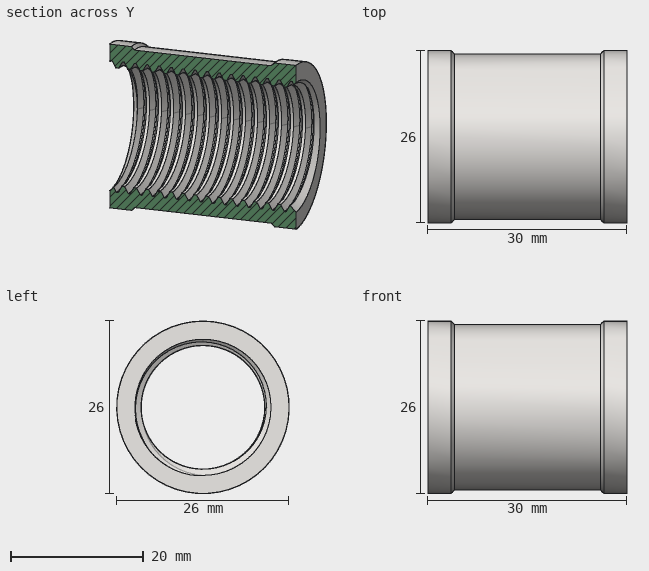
import cadquery as cq
import math

length = 30.0
collar_diameter = 26.0
body_diameter = 25.0
collar_width = 3.5
collar_step = (collar_diameter - body_diameter) / 2

minor_diameter = 18.6
pitch = 1.93
thread_depth = 1.05
flank_angle = 60.0
crest_width = 0.5
groove_overlap = 0.1
thread_start = -15.65

mouth_diameter = 20.5
mouth_depth = (mouth_diameter - minor_diameter) / 2

half_length = length / 2
minor_radius = minor_diameter / 2
turn_count = math.ceil((half_length - thread_start) / pitch)


def make_sleeve():
    """Revolve the collared outline with its coned bore about X."""
    collar_edge = half_length - collar_width
    body_edge = collar_edge - collar_step
    bore_edge = half_length - mouth_depth
    return (
        cq.Workplane("XZ")
        .moveTo(-half_length, mouth_diameter / 2)
        .lineTo(-half_length, collar_diameter / 2)
        .lineTo(-collar_edge, collar_diameter / 2)
        .lineTo(-body_edge, body_diameter / 2)
        .lineTo(body_edge, body_diameter / 2)
        .lineTo(collar_edge, collar_diameter / 2)
        .lineTo(half_length, collar_diameter / 2)
        .lineTo(half_length, mouth_diameter / 2)
        .lineTo(bore_edge, minor_radius)
        .lineTo(-bore_edge, minor_radius)
        .close()
        .revolve(360, (0, 0, 0), (1, 0, 0))
    )


def make_groove_turn(start):
    """Sweep the groove section along one right-handed turn that begins at X = start on the -Y side."""
    helix = cq.Wire.makeHelix(
        pitch, pitch, minor_radius, cq.Vector(start, 0, 0), cq.Vector(1, 0, 0)
    )
    flank_run = math.tan(math.radians(flank_angle / 2))
    bore_half_width = (pitch - crest_width) / 2
    inner_half_width = bore_half_width + flank_run * groove_overlap
    root_half_width = bore_half_width - flank_run * thread_depth
    inner_z = minor_radius - groove_overlap
    root_z = minor_radius + thread_depth
    return (
        cq.Workplane("XZ")
        .moveTo(start - inner_half_width, inner_z)
        .lineTo(start - root_half_width, root_z)
        .lineTo(start + root_half_width, root_z)
        .lineTo(start + inner_half_width, inner_z)
        .close()
        .sweep(cq.Workplane(obj=helix), isFrenet=True)
        .rotate((0, 0, 0), (1, 0, 0), 90)
    )


def cut_thread(sleeve):
    """Cut the groove one turn at a time, each turn starting where the last one ended."""
    for turn in range(turn_count):
        sleeve = sleeve.cut(make_groove_turn(thread_start + turn * pitch))
    return sleeve


result = cut_thread(make_sleeve())